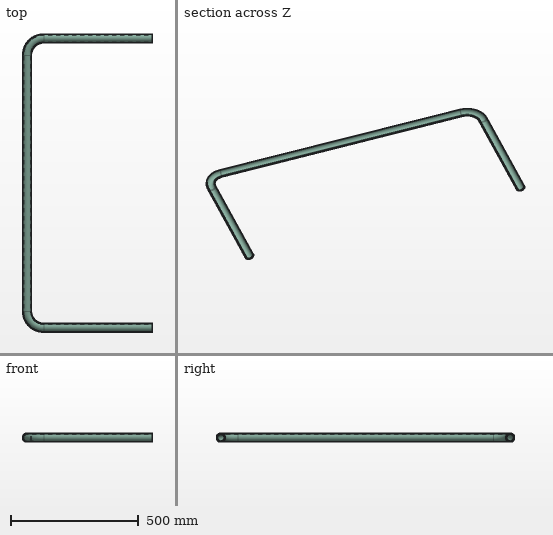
import cadquery as cq

overall_x = 508.0
overall_y = 1168.0
tube_diameter = 34.0
bore_diameter = 27.0
bend_radius = 65.0

spine_x = (tube_diameter - overall_x) / 2
leg_end_x = overall_x / 2
leg_y = (overall_y - tube_diameter) / 2
bend_end_x = spine_x + bend_radius
bend_end_y = leg_y - bend_radius

centreline = (
    cq.Workplane("XY")
    .moveTo(leg_end_x, -leg_y)
    .lineTo(bend_end_x, -leg_y)
    .radiusArc((spine_x, -bend_end_y), bend_radius)
    .lineTo(spine_x, bend_end_y)
    .radiusArc((bend_end_x, leg_y), bend_radius)
    .lineTo(leg_end_x, leg_y)
)

leg_end_plane = cq.Plane(origin=(leg_end_x, -leg_y, 0), xDir=(0, 1, 0), normal=(-1, 0, 0))
result = (
    cq.Workplane(leg_end_plane)
    .circle(tube_diameter / 2)
    .circle(bore_diameter / 2)
    .sweep(centreline)
)